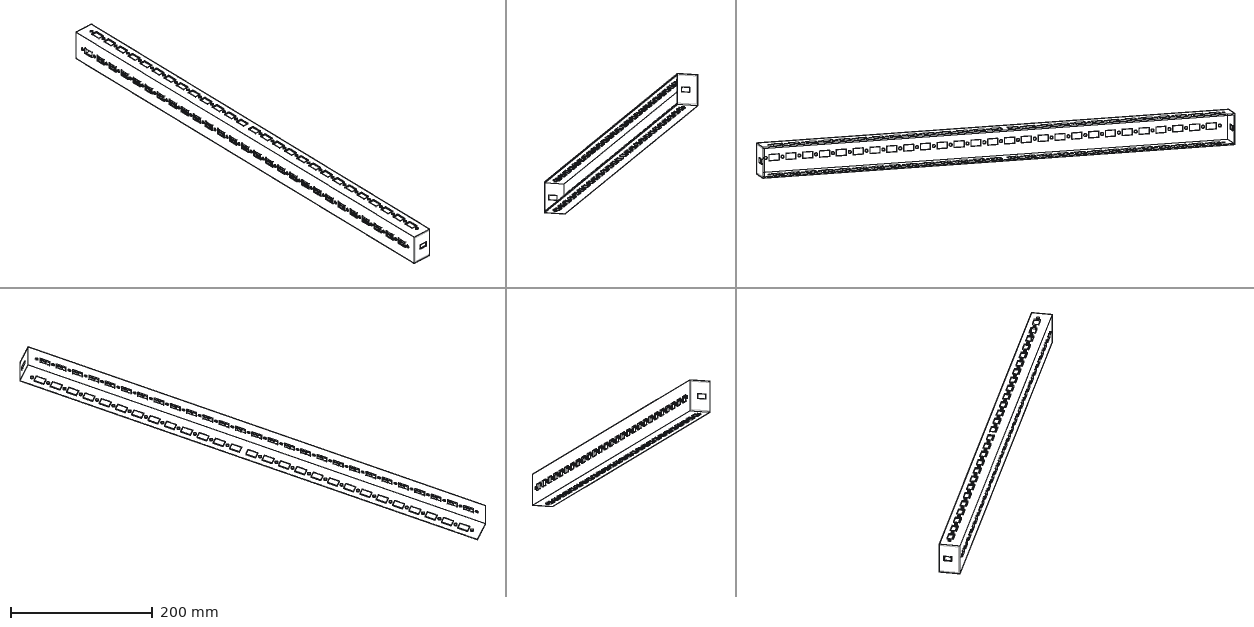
import cadquery as cq

length = 702.0
depth = 30.0
height = 45.0
sheet = 2.0
inner_height = height - 2 * sheet
inner_depth = depth - sheet
inner_centre_y = sheet / 2

pitch = 25.0
slot_count = 27
slot_length = 15.0
slot_width = 9.0
hole_diameter = 4.25

row_from_open_side = 12.0
row_y = depth / 2 - row_from_open_side
end_slot_length = 12.0
end_slot_height = 7.0

slot_positions = [(i - (slot_count - 1) / 2) * pitch for i in range(slot_count)]
hole_positions = [(i - slot_count / 2) * pitch for i in range(slot_count + 1)]

flange_gap_x = -pitch / 2
flange_hole_positions = [x for x in hole_positions if x != flange_gap_x]


def make_channel():
    """Sheet channel with the web on -Y and the flanges on +Z and -Z."""
    outer = cq.Workplane("XY").box(length, depth, height)
    cavity = (
        cq.Workplane("XY")
        .box(length, inner_depth, inner_height)
        .translate((0, inner_centre_y, 0))
    )
    return outer.cut(cavity)


def perforation_cutter(plane, row_offset, hole_xs, reach):
    """Row of slots and round holes along X, reaching both ways from the plane."""
    row = cq.Workplane(plane).center(0, row_offset)
    slots = (
        row.pushPoints([(x, 0) for x in slot_positions])
        .rect(slot_length, slot_width)
        .extrude(reach, both=True)
    )
    holes = (
        row.pushPoints([(x, 0) for x in hole_xs])
        .circle(hole_diameter / 2)
        .extrude(reach, both=True)
    )
    return slots.union(holes)


def make_end_plate(side):
    """Slotted plate that fills the channel section, flush with its end; side is -1 or 1."""
    plate_x = side * (length - sheet) / 2
    plate = (
        cq.Workplane("XY")
        .box(sheet, inner_depth, inner_height)
        .translate((plate_x, inner_centre_y, 0))
    )
    slot = (
        cq.Workplane("XY")
        .box(sheet, end_slot_length, end_slot_height)
        .translate((plate_x, row_y, 0))
    )
    return plate.cut(slot)


web_cutter = perforation_cutter("XZ", 0, hole_positions, depth)
flange_cutter = perforation_cutter("XY", row_y, flange_hole_positions, height)

result = make_channel().cut(web_cutter).cut(flange_cutter)

for end_side in (-1, 1):
    result = result.union(make_end_plate(end_side), clean=False)